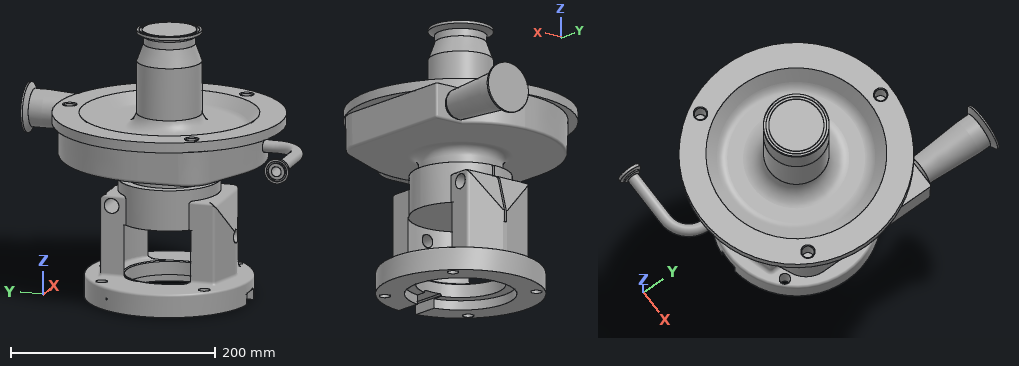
import cadquery as cq
import math

base_radius = 83.5
base_height = 23.8
base_bore_radius = 44.0
base_bore_chamfer = 1.0
base_recess_radius = 55.0
base_recess_depth = 9.5
base_edge_radius = 3.0
base_hole_circle = 74.5
base_hole_radius = 5.5
base_hole_count = 4
base_hole_start_angle = 45
notch_width = 21.0
notch_height = 12.0
notch_corner = 1.5
pin_hole_radius = 0.8
pin_hole_depth = 5.0
pin_hole_y = 41.5

leg_half_width = 38.75
leg_top = 108.0
leg_corner_y = 58.6
leg_ridge_y = 69.0
leg_ridge_width = 5.0
leg_slope_top = 106.0
leg_slope_bottom = 69.5
leg_edge_radius = 3.0
leg_top_radius = 8.0
leg_foot_radius = 4.7
leg_relief_radius = 51.7
leg_hole_radius = 6.6
leg_hole_z = 66.0
leg_hole_start_y = -40.5
clamp_slit_width = 2.4
clamp_slit_bottom = 58.0
clamp_hole_radius = 7.5
clamp_hole_y = 47.0
clamp_hole_z = 97.0

collar_radius = 50.5
collar_bottom = 78.7
collar_top = 119.8
neck_radius = 41.3
neck_flare = 10.0

casing_bottom = 140.0
casing_side = 102.7
casing_front_radius = 98.0
casing_front_angle = math.radians(24.4)
casing_corner_radius = 29.5
casing_corner_y = -42.0
volute_radius = 113.0
shoulder_x = 70.0
discharge_face_y = 88.7
discharge_corner = 2.0
casing_draft = 1.0
casing_edge_radius = 2.8

flange_radius = 115.0
flange_bottom = 175.6
flange_top = 185.7
flange_hole_circle = 102.4
flange_hole_radius = 6.0
flange_hole_depth = 20.0
flange_hole_chamfer = 1.0
dish_rim_radius = 88.5
dish_cone_radius = 77.5
dish_floor_outer = 67.5
dish_depth = 15.0
dish_floor = flange_top - dish_depth

inlet_radius = 32.2
inlet_flare_radius = 52.0
inlet_cone_bottom = 238.5
inlet_cone_top = 256.0
inlet_neck_radius = 25.7
inlet_top = 270.0
inlet_rim_thickness = 3.0
inlet_rim_depth = 6.5
inlet_groove_inner = 27.0
inlet_groove_outer = 29.7
inlet_groove_depth = 1.0

nozzle_x = 78.6
nozzle_z = 157.0
nozzle_end_y = 170.0
nozzle_rim_radius = 25.25
nozzle_rim_thickness = 2.0
nozzle_rim_depth = 6.0
nozzle_radius = 19.05
nozzle_cone_start_y = 150.0
nozzle_small_radius = 15.3
nozzle_tip_radius = 13.0
nozzle_cone_end_y = 92.6

drain_radius = 6.35
drain_bore_radius = 5.0
drain_z = 159.8
drain_y = -138.2
drain_bend_radius = 28.0
drain_end_x = -89.2
drain_rim_radius = 12.5
drain_rim_thickness = 3.5
drain_rim_slope = 1.5
drain_hub_radius = 9.0
drain_hub_depth = 7.5
drain_hub_slope = 1.0
drain_groove_inner = 8.5
drain_groove_outer = 10.2
drain_groove_depth = 1.0


def cylinder(radius, bottom, top):
    return cq.Workplane("XY").workplane(offset=bottom).circle(radius).extrude(top - bottom)


def ring(inner, outer, bottom, top):
    return cylinder(outer, bottom, top).cut(cylinder(inner, bottom, top))


def leg():
    """Leg on the +Y side: a block with a blunt wedge outside and a sloped upper face."""
    half_ridge = leg_ridge_width / 2
    height = leg_top - base_height
    plan = (
        cq.Workplane("XY").workplane(offset=base_height)
        .moveTo(-leg_half_width, 0)
        .lineTo(-leg_half_width, leg_corner_y)
        .lineTo(-half_ridge, leg_ridge_y)
        .lineTo(half_ridge, leg_ridge_y)
        .lineTo(leg_half_width, leg_corner_y)
        .lineTo(leg_half_width, 0)
        .close()
        .extrude(height)
    )
    plan = plan.edges("|Z and (<X or >X)").edges(">Y").fillet(leg_edge_radius)
    slope = (leg_ridge_y - leg_corner_y) / (leg_slope_top - leg_slope_bottom)
    top_y = leg_corner_y - slope * (leg_top - leg_slope_top)
    side = (
        cq.Workplane("YZ")
        .moveTo(0, base_height)
        .lineTo(leg_ridge_y, base_height)
        .lineTo(leg_ridge_y, leg_slope_bottom)
        .lineTo(top_y, leg_top)
        .lineTo(0, leg_top)
        .close()
        .extrude(leg_half_width, both=True)
        .edges("|X and >Z").edges(">Y").fillet(leg_top_radius)
    )
    front = (
        cq.Workplane("XY")
        .box(leg_half_width * 2, leg_ridge_y, height, centered=(True, False, False))
        .translate((0, 0, base_height))
        .edges("|Y and >Z").fillet(leg_edge_radius)
    )
    return plan.intersect(side).intersect(front)


def bracket():
    """Base ring carrying the two legs, bored through and recessed underneath."""
    base = cylinder(base_radius, 0, base_height).faces(">Z").edges().fillet(base_edge_radius)
    legs = leg().union(leg().mirror("XZ"))
    lower = cylinder(leg_relief_radius, base_height, collar_bottom)
    upper = cylinder(collar_radius, collar_bottom, leg_top)
    body = base.union(legs.cut(lower).cut(upper))
    foot = body.edges(cq.selectors.BoxSelector(
        (-leg_half_width - 1, -leg_ridge_y - 1, base_height - 0.1),
        (leg_half_width + 1, leg_ridge_y + 1, base_height + 0.1)))
    body = foot.fillet(leg_foot_radius)
    bore = cylinder(base_bore_radius, 0, base_height)
    mouth_radius = base_bore_radius + base_bore_chamfer
    bore_mouth = cq.Workplane(cq.Solid.makeCone(mouth_radius - base_height, mouth_radius, base_height))
    recess = cylinder(base_recess_radius, 0, base_recess_depth)
    return body.cut(bore).cut(bore_mouth).cut(recess)


def base_cuts():
    """Mounting holes, the notch on the -Y side and the small pin hole on the -X side."""
    holes = (
        cq.Workplane("XY")
        .polarArray(base_hole_circle, base_hole_start_angle, 360, base_hole_count)
        .circle(base_hole_radius)
        .extrude(base_height)
    )
    notch = (
        cq.Workplane("XY")
        .rect(notch_width, base_radius * 2)
        .extrude(notch_height)
        .translate((0, -base_radius, 0))
        .edges("|Y and >Z").chamfer(notch_corner)
    )
    pin_x = math.sqrt(base_radius ** 2 - pin_hole_y ** 2)
    pin = (
        cq.Workplane("YZ", origin=(-pin_x - 1, pin_hole_y, base_height / 2))
        .circle(pin_hole_radius)
        .extrude(pin_hole_depth + 1)
    )
    return holes.union(notch).union(pin)


def clamp_cuts():
    """Hole in the -Y leg, and the clamp slit and clamp bolt hole in the +Y leg."""
    leg_hole = (
        cq.Workplane("XZ", origin=(0, leg_hole_start_y, leg_hole_z))
        .circle(leg_hole_radius)
        .extrude(leg_ridge_y)
    )
    slit = cq.Workplane("XY").box(
        clamp_slit_width, leg_ridge_y, collar_top - clamp_slit_bottom, centered=(True, False, False)
    ).translate((0, neck_radius, clamp_slit_bottom))
    bolt_hole = (
        cq.Workplane("YZ", origin=(0, clamp_hole_y, clamp_hole_z))
        .circle(clamp_hole_radius)
        .extrude(leg_half_width + 1, both=True)
    )
    return leg_hole.union(slit).union(bolt_hole)


def neck():
    """Collar, and the neck that flares out into the casing underside."""
    flare_mid = neck_flare * (1 - math.sqrt(0.5))
    return (
        cq.Workplane("XZ")
        .moveTo(0, collar_bottom)
        .lineTo(collar_radius, collar_bottom)
        .lineTo(collar_radius, collar_top)
        .lineTo(neck_radius, collar_top)
        .lineTo(neck_radius, casing_bottom - neck_flare)
        .threePointArc(
            (neck_radius + flare_mid, casing_bottom - flare_mid),
            (neck_radius + neck_flare, casing_bottom),
        )
        .lineTo(neck_radius + neck_flare, dish_floor)
        .lineTo(0, dish_floor)
        .close()
        .revolve(360, (0, 0, 0), (0, 1, 0))
    )


def casing():
    """Volute casing: round front, flat cheeks, swept back and a square discharge shoulder."""
    flat_x = casing_front_radius * math.sin(casing_front_angle)
    flat_y = -casing_front_radius * math.cos(casing_front_angle)
    corner_x = casing_side - casing_corner_radius
    start_x = corner_x + casing_corner_radius * math.sin(casing_front_angle)
    start_y = casing_corner_y - casing_corner_radius * math.cos(casing_front_angle)
    mid_angle = (math.pi / 2 - casing_front_angle) / 2
    mid_x = corner_x + casing_corner_radius * math.cos(mid_angle)
    mid_y = casing_corner_y - casing_corner_radius * math.sin(mid_angle)
    volute_x = volute_radius - casing_side
    outlet_width = shoulder_x - volute_x
    outlet_drop = volute_radius - discharge_face_y
    outlet_arc = (outlet_width ** 2 + outlet_drop ** 2) / (2 * outlet_drop)
    outlet_half_sweep = math.asin(outlet_width / outlet_arc) / 2
    outlet_mid_x = volute_x + outlet_arc * math.sin(outlet_half_sweep)
    outlet_mid_y = volute_radius - outlet_arc * (1 - math.cos(outlet_half_sweep))
    volute_mid = volute_radius * math.sqrt(0.5)
    body = (
        cq.Workplane("XY").workplane(offset=flange_bottom)
        .moveTo(-flat_x, flat_y)
        .threePointArc((0, -casing_front_radius), (flat_x, flat_y))
        .lineTo(start_x, start_y)
        .threePointArc((mid_x, mid_y), (casing_side, casing_corner_y))
        .lineTo(casing_side, discharge_face_y)
        .lineTo(shoulder_x, discharge_face_y)
        .threePointArc((outlet_mid_x, outlet_mid_y), (volute_x, volute_radius))
        .threePointArc((volute_x - volute_mid, volute_mid), (-casing_side, 0))
        .lineTo(-casing_side, casing_corner_y)
        .threePointArc((-mid_x, mid_y), (-start_x, start_y))
        .close()
        .extrude(casing_bottom - flange_bottom, taper=casing_draft)
    )
    shoulder_corner = cq.selectors.BoxSelector(
        (casing_side - discharge_corner, discharge_face_y - discharge_corner, casing_bottom),
        (casing_side + discharge_corner, discharge_face_y + discharge_corner, flange_bottom - 1))
    body = body.edges(shoulder_corner).fillet(discharge_corner)
    return body.faces("<Z").edges().fillet(casing_edge_radius)


def dish():
    """Hollow in the flange top: conical wall, rounded foot and flat floor."""
    cone_drop = dish_rim_radius - dish_cone_radius
    return (
        cq.Workplane("XZ")
        .moveTo(0, dish_floor)
        .lineTo(dish_floor_outer, dish_floor)
        .tangentArcPoint((dish_cone_radius, flange_top - cone_drop), relative=False)
        .lineTo(dish_rim_radius, flange_top)
        .lineTo(0, flange_top)
        .close()
        .revolve(360, (0, 0, 0), (0, 1, 0))
    )


def flange_holes():
    """Three blind holes with widened mouths, evenly spaced from the +Y direction."""
    hole = cylinder(flange_hole_radius, flange_top - flange_hole_depth, flange_top)
    mouth_radius = flange_hole_radius + flange_hole_chamfer
    mouth = cylinder(mouth_radius, flange_top - flange_hole_chamfer, flange_top)
    mouth = mouth.faces("<Z").chamfer(flange_hole_chamfer * 0.999)
    tool = hole.union(mouth).translate((0, flange_hole_circle, 0))
    holes = tool
    for angle in (120, 240):
        holes = holes.union(tool.rotate((0, 0, 0), (0, 0, 1), angle))
    return holes


def inlet():
    """Inlet pipe flaring out onto the dish floor, with a reducing cone and a clamp rim with a grooved face."""
    flare_width = inlet_flare_radius - inlet_radius
    flare_arc = (flare_width ** 2 + dish_depth ** 2) / (2 * dish_depth)
    half_sweep = math.asin(flare_width / flare_arc) / 2
    flare_mid_r = inlet_flare_radius - flare_arc * math.sin(half_sweep)
    flare_mid_z = dish_floor + flare_arc * (1 - math.cos(half_sweep))
    body = (
        cq.Workplane("XZ")
        .moveTo(0, casing_bottom)
        .lineTo(inlet_flare_radius, casing_bottom)
        .lineTo(inlet_flare_radius, dish_floor)
        .threePointArc((flare_mid_r, flare_mid_z), (inlet_radius, flange_top))
        .lineTo(inlet_radius, inlet_cone_bottom)
        .lineTo(inlet_neck_radius, inlet_cone_top)
        .lineTo(inlet_neck_radius, inlet_top - inlet_rim_depth)
        .lineTo(inlet_radius, inlet_top - inlet_rim_thickness)
        .lineTo(inlet_radius, inlet_top)
        .lineTo(0, inlet_top)
        .close()
        .revolve(360, (0, 0, 0), (0, 1, 0))
    )
    return body.cut(ring(inlet_groove_inner, inlet_groove_outer, inlet_top - inlet_groove_depth, inlet_top))


def discharge_nozzle():
    """Conical nozzle along +Y, widening from the discharge shoulder to a clamp rim."""
    return (
        cq.Workplane("XY", origin=(nozzle_x, 0, nozzle_z))
        .moveTo(0, discharge_face_y - discharge_corner)
        .lineTo(nozzle_tip_radius, discharge_face_y - discharge_corner)
        .lineTo(nozzle_tip_radius, discharge_face_y)
        .lineTo(nozzle_small_radius, nozzle_cone_end_y)
        .lineTo(nozzle_radius, nozzle_cone_start_y)
        .lineTo(nozzle_radius, nozzle_end_y - nozzle_rim_depth)
        .lineTo(nozzle_rim_radius, nozzle_end_y - nozzle_rim_thickness)
        .lineTo(nozzle_rim_radius, nozzle_end_y)
        .lineTo(0, nozzle_end_y)
        .close()
        .revolve(360, (0, 0, 0), (0, 1, 0))
    )


def drain_sweep(radius):
    """Round bar along the drain pipe's path: straight along X, a quarter bend, then into the casing."""
    bend_mid = drain_bend_radius * math.sqrt(0.5)
    bend_y = drain_y + drain_bend_radius
    path = (
        cq.Workplane("XY", origin=(0, 0, drain_z))
        .moveTo(drain_end_x, drain_y)
        .lineTo(-drain_bend_radius, drain_y)
        .threePointArc((bend_mid - drain_bend_radius, bend_y - bend_mid), (0, bend_y))
        .lineTo(0, -casing_front_radius + drain_rim_radius)
    )
    start = cq.Workplane("YZ", origin=(drain_end_x, drain_y, drain_z))
    return start.circle(radius).sweep(path)


def drain_ferrule():
    """Clamp rim on the drain pipe's open end, with a ring groove in its face."""
    rim = (
        cq.Workplane("XY", origin=(drain_end_x, drain_y, drain_z))
        .lineTo(0, drain_rim_radius)
        .lineTo(drain_rim_thickness, drain_rim_radius)
        .lineTo(drain_rim_thickness + drain_rim_slope, drain_hub_radius)
        .lineTo(drain_hub_depth - drain_hub_slope, drain_hub_radius)
        .lineTo(drain_hub_depth, drain_radius)
        .lineTo(drain_hub_depth, 0)
        .close()
        .revolve(360, (0, 0, 0), (1, 0, 0))
    )
    groove = (
        cq.Workplane("YZ", origin=(drain_end_x, drain_y, drain_z))
        .circle(drain_groove_outer)
        .circle(drain_groove_inner)
        .extrude(drain_groove_depth)
    )
    return rim.cut(groove)


result = bracket().cut(base_cuts())
result = result.union(neck()).cut(clamp_cuts())
flange = cylinder(flange_radius, flange_bottom, flange_top)
head = casing().union(flange).cut(dish()).union(inlet()).cut(flange_holes())
result = result.union(head).union(discharge_nozzle())
result = result.union(drain_sweep(drain_radius)).union(drain_ferrule()).cut(drain_sweep(drain_bore_radius))